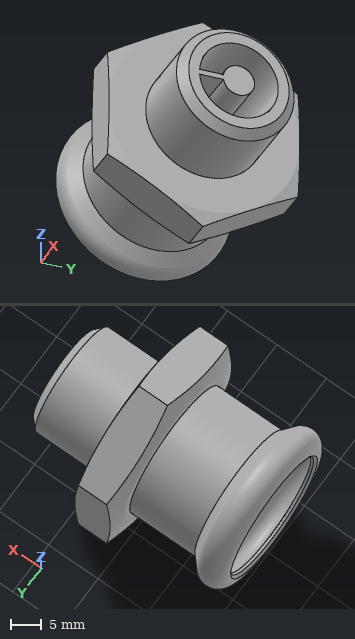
import cadquery as cq
import math

length = 42.2

body_radius = 25.2 / 2
bead_radius = 2.95
bead_end = 6.9
bead_ring_radius = body_radius
socket_radius = 11.1
socket_depth = 20.05
mouth_radius = 12.1
lip_radius = 11.65
lip_end = 1.0
groove_radius = 1.77
groove_ring_radius = 12.25

hex_start = 20.05
hex_end = 27.98
hex_flats = 34.0
hex_chamfer_angle = math.radians(15)
hex_front_face_radius = 14.1

spigot_radius = 20.97 / 2
spigot_end_radius = 8.95
spigot_chamfer_length = 1.5
through_radius = 14.0 / 2

pin_radius = 2.8
web_thickness = 0.93

DIAGONAL = math.sqrt(0.5)


def outer_body():
    """Bead, socket wall and spigot as one solid of revolution."""
    tangent = bead_radius * DIAGONAL
    cone_start_x = bead_radius + tangent
    cone_start_radius = bead_ring_radius + tangent
    profile = (
        cq.Workplane("XY")
        .lineTo(0, bead_ring_radius)
        .threePointArc(
            (bead_radius - tangent, cone_start_radius),
            (cone_start_x, cone_start_radius),
        )
        .lineTo(bead_end, body_radius)
        .lineTo(hex_start, body_radius)
        .lineTo(hex_start, spigot_radius)
        .lineTo(length - spigot_chamfer_length, spigot_radius)
        .lineTo(length, spigot_end_radius)
        .lineTo(length, 0)
        .close()
    )
    return profile.revolve(360, (0, 0, 0), (1, 0, 0))


def hexagon():
    """Hexagonal nut, corners on Z, with both ends turned to a shallow cone."""
    flat_radius = hex_flats / 2
    corner_radius = flat_radius / math.cos(math.pi / 6)
    slope = math.tan(hex_chamfer_angle)
    front_corner_x = hex_start + (corner_radius - hex_front_face_radius) * slope
    back_corner_x = hex_end - (corner_radius - flat_radius) * slope
    prism = (
        cq.Workplane("YZ", origin=(hex_start, 0, 0))
        .polygon(6, 2 * corner_radius)
        .extrude(hex_end - hex_start)
        .rotate((0, 0, 0), (1, 0, 0), 30)
    )
    turned_blank = (
        cq.Workplane("XY")
        .moveTo(hex_start, 0)
        .lineTo(hex_start, hex_front_face_radius)
        .lineTo(front_corner_x, corner_radius)
        .lineTo(back_corner_x, corner_radius)
        .lineTo(hex_end, flat_radius)
        .lineTo(hex_end, 0)
        .close()
        .revolve(360, (0, 0, 0), (1, 0, 0))
    )
    return prism.intersect(turned_blank)


def inner_cavity():
    """Chamfered mouth, seal groove, socket bore and through hole."""
    lip_chamfer = mouth_radius - lip_radius
    groove_x = lip_end + groove_radius
    tangent = groove_radius * DIAGONAL
    cone_start_x = groove_x + tangent
    cone_start_radius = groove_ring_radius + tangent
    cone_end_x = cone_start_x + cone_start_radius - socket_radius
    profile = (
        cq.Workplane("XY")
        .lineTo(0, mouth_radius)
        .lineTo(lip_chamfer, lip_radius)
        .lineTo(lip_end, lip_radius)
        .lineTo(lip_end, groove_ring_radius)
        .threePointArc(
            (
                groove_x - groove_radius * math.sin(math.pi / 8),
                groove_ring_radius + groove_radius * math.cos(math.pi / 8),
            ),
            (cone_start_x, cone_start_radius),
        )
        .lineTo(cone_end_x, socket_radius)
        .lineTo(socket_depth, socket_radius)
        .lineTo(socket_depth, through_radius)
        .lineTo(length, through_radius)
        .lineTo(length, 0)
        .close()
    )
    return profile.revolve(360, (0, 0, 0), (1, 0, 0))


def pin_and_web():
    """Pin on the axis, joined to the -Y side of the through hole by a web."""
    web_root_radius = (through_radius + spigot_end_radius) / 2
    pin_length = length - socket_depth
    pin = cq.Workplane("YZ", origin=(socket_depth, 0, 0)).circle(pin_radius).extrude(pin_length)
    web = cq.Workplane("XY").box(
        pin_length, web_root_radius, web_thickness, centered=(False, False, True)
    )
    return pin.union(web.translate((socket_depth, -web_root_radius, 0)))


result = outer_body().union(hexagon()).cut(inner_cavity()).union(pin_and_web())